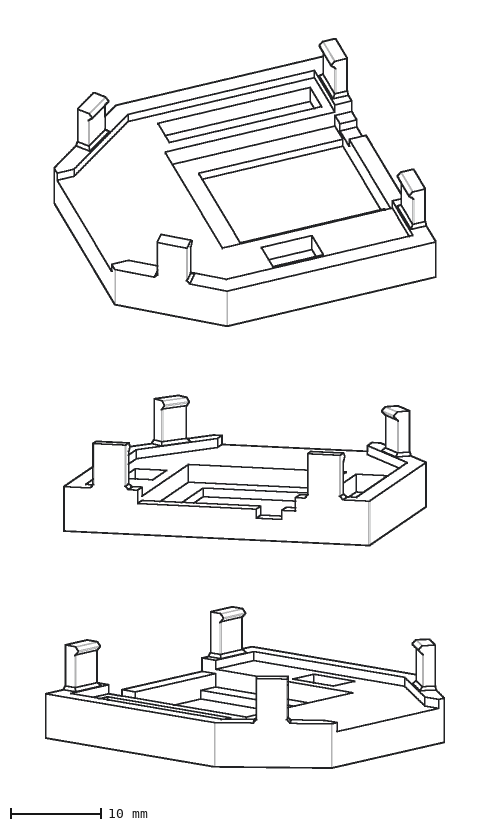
import cadquery as cq
import math

size = 35.0
base_height = 5.0
total_height = 10.0
rim_width = 2.0
nose_width = 19.1
corner_start = 10.3

deck_depth = 1.0
rear_notch_depth = 1.5
cable_gap_depth = 1.0

deck_z = base_height - deck_depth
rear_notch_z = base_height - rear_notch_depth
cable_gap_z = rear_notch_z - cable_gap_depth
ledge_z = 2.0
bay_floor_z = 1.0
pocket_floor_z = 2.0

bay_width = 18.05
bay_front = 12.9
inner_bay_width = 13.1
inner_bay_front = 15.95

gap_left = 10.05
gap_right = 12.95

pocket_width = 3.6
long_slot_x = 5.25
long_slot_y = 22.95
long_slot_length = 18.0
small_pocket_x = 29.75
small_pocket_y = 20.0
small_pocket_length = 6.0

rear_clip_inset = 5.2
rear_clip_width = 3.75
corner_clip_width = 3.45
corner_clip_y = 5.25
clip_thickness = 1.5
hook_height = 0.95
foot_flare = 0.3
foot_height = 0.4

edge_radius = 0.1

rear_wall_y = size - rim_width
mid_x = size / 2
nose_left = (size - nose_width) / 2
corner_angle = math.degrees(math.atan2(corner_start, nose_left))


def cutter(x_min, x_max, y_min, y_max, floor_z):
    """Box from floor_z up past the rim, for removing material."""
    return cq.Workplane().box(
        x_max - x_min, y_max - y_min, total_height - floor_z, centered=False
    ).translate((x_min, y_min, floor_z))


def centered_cutter(x, y, width, length, floor_z):
    return cutter(x - width / 2, x + width / 2, y - length / 2, y + length / 2, floor_z)


def plan_outline():
    return cq.Workplane().polyline([
        (nose_left, 0),
        (size - nose_left, 0),
        (size, corner_start),
        (size, size),
        (0, size),
        (0, corner_start),
    ]).close()


def deck_recess():
    """Recess inside the rim, left open at the front edge."""
    recess = plan_outline().offset2D(-rim_width, "intersection").extrude(total_height)
    slope_run = nose_left / corner_start
    inner_nose_left = nose_left + rim_width * (math.hypot(1, slope_run) - slope_run)
    opening = cutter(inner_nose_left, size - inner_nose_left, 0, rim_width, 0)
    return recess.union(opening).translate((0, 0, deck_z))


def snap_clip(width):
    """Clip with its back on local Y = 0, its hook toward -Y and its foot at Z = 0."""
    height = total_height - base_height
    hook_reach = hook_height / 2
    post = (
        cq.Workplane("YZ")
        .polyline([
            (0, 0),
            (0, height),
            (-clip_thickness, height),
            (-clip_thickness - hook_reach, height - hook_reach),
            (-clip_thickness, height - hook_height),
            (-clip_thickness, 0),
        ])
        .close()
        .extrude(width / 2, both=True)
    )
    post = post.edges("|Z").fillet(edge_radius)
    hook_edges = cq.selectors.BoxSelector(
        (-width, -clip_thickness - 2 * hook_reach, height - 1.5 * hook_reach),
        (width, -clip_thickness / 2, height + hook_reach),
    )
    post = post.edges("|X").edges(hook_edges).fillet(edge_radius)
    foot = (
        cq.Workplane()
        .rect(width + 2 * foot_flare, 2 * (clip_thickness + foot_flare))
        .workplane(offset=foot_height)
        .rect(width, 2 * clip_thickness)
        .loft()
    )
    behind_wall = cq.Workplane().box(size, size, size).translate((0, size / 2, 0))
    return post.union(foot.cut(behind_wall))


base = plan_outline().extrude(base_height).edges("|Z").fillet(edge_radius)
base = base.cut(deck_recess())

base = base.cut(cutter(mid_x - bay_width / 2, mid_x + bay_width / 2, bay_front, rear_wall_y, ledge_z))
base = base.cut(cutter(
    mid_x - inner_bay_width / 2, mid_x + inner_bay_width / 2, inner_bay_front, rear_wall_y, bay_floor_z
))

base = base.cut(cutter(mid_x - bay_width / 2, mid_x + bay_width / 2, rear_wall_y, size, rear_notch_z))
base = base.cut(cutter(gap_left, gap_right, rear_wall_y, size, cable_gap_z))

base = base.cut(centered_cutter(long_slot_x, long_slot_y, pocket_width, long_slot_length, pocket_floor_z))
base = base.cut(centered_cutter(
    small_pocket_x, small_pocket_y, pocket_width, small_pocket_length, pocket_floor_z
))

corner_clip_x = nose_left * (1 - corner_clip_y / corner_start)
rear_clip = snap_clip(rear_clip_width)
corner_clip = snap_clip(corner_clip_width)
placements = [
    (rear_clip, rear_clip_inset, size, 0),
    (rear_clip, size - rear_clip_inset, size, 0),
    (corner_clip, corner_clip_x, corner_clip_y, 180 - corner_angle),
    (corner_clip, size - corner_clip_x, corner_clip_y, 180 + corner_angle),
]

result = base
for clip, x, y, turn in placements:
    placed = clip.rotate((0, 0, 0), (0, 0, 1), turn).translate((x, y, base_height))
    result = result.union(placed)